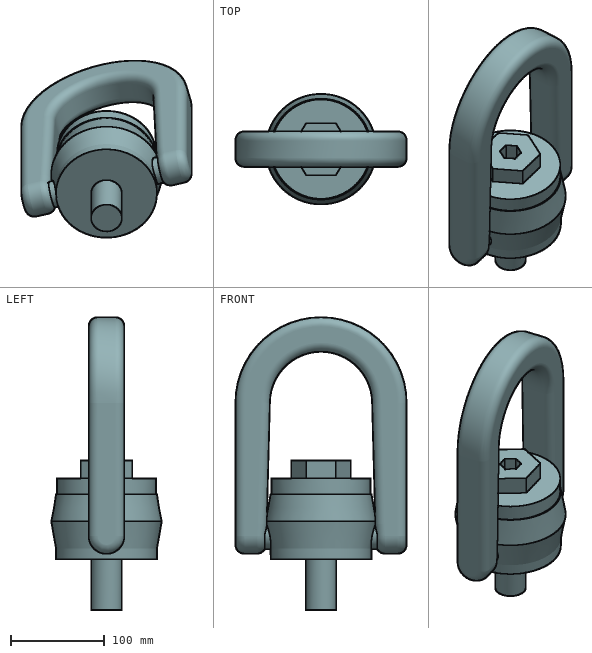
import cadquery as cq

FLANGE_BOTTOM = 54.0
FLANGE_TOP = 65.7
BODY_TOP = 124.0
DISC_TOP = 141.0
HEX_TOP = 160.0
TOTAL_HEIGHT = 313.0

STUD_DIAMETER = 33.0
FLANGE_DIAMETER = 108.0
BELLY_DIAMETER = 118.3
DISC_DIAMETER = 106.0
HEX_ACROSS_FLATS = 55.5
SOCKET_ACROSS_FLATS = 19.7
SOCKET_DEPTH = HEX_TOP - DISC_TOP

SHACKLE_WIDTH = 183.0
SHACKLE_THICKNESS = 38.2
EDGE_RADIUS = 9.7
ARCH_INNER_RADIUS = 54.5
TAPER_END_HALF_GAP = 58.0
TAPER_END_HEIGHT = 91.7
FOOT_HALF_GAP = 59.0
PIN_HEIGHT = 79.2
PIN_DIAMETER = 28.5

ARCH_OUTER_RADIUS = SHACKLE_WIDTH / 2
ARCH_CENTRE_HEIGHT = TOTAL_HEIGHT - ARCH_OUTER_RADIUS
FOOT_RADIUS = SHACKLE_THICKNESS / 2
FOOT_BOTTOM = PIN_HEIGHT - FOOT_RADIUS
HEX_CORNER_FACTOR = 2 / 3**0.5


def hinge_pin():
    """Horizontal pin along X, reaching the inner faces of both legs."""
    return (
        cq.Workplane("YZ")
        .center(0, PIN_HEIGHT)
        .circle(PIN_DIAMETER / 2)
        .extrude(FOOT_HALF_GAP + EDGE_RADIUS, both=True)
    )


def make_shackle():
    """U-shaped shackle with rounded feet, closed by the hinge pin."""
    bow = (
        cq.Workplane("XZ")
        .moveTo(-ARCH_OUTER_RADIUS, FOOT_BOTTOM)
        .lineTo(-ARCH_OUTER_RADIUS, ARCH_CENTRE_HEIGHT)
        .threePointArc((0, TOTAL_HEIGHT), (ARCH_OUTER_RADIUS, ARCH_CENTRE_HEIGHT))
        .lineTo(ARCH_OUTER_RADIUS, FOOT_BOTTOM)
        .lineTo(FOOT_HALF_GAP, FOOT_BOTTOM)
        .lineTo(FOOT_HALF_GAP, PIN_HEIGHT)
        .lineTo(TAPER_END_HALF_GAP, TAPER_END_HEIGHT)
        .lineTo(ARCH_INNER_RADIUS, ARCH_CENTRE_HEIGHT)
        .threePointArc(
            (0, ARCH_CENTRE_HEIGHT + ARCH_INNER_RADIUS),
            (-ARCH_INNER_RADIUS, ARCH_CENTRE_HEIGHT),
        )
        .lineTo(-TAPER_END_HALF_GAP, TAPER_END_HEIGHT)
        .lineTo(-FOOT_HALF_GAP, PIN_HEIGHT)
        .lineTo(-FOOT_HALF_GAP, FOOT_BOTTOM)
        .close()
        .extrude(SHACKLE_THICKNESS / 2, both=True)
    )
    round_foot_envelope = (
        cq.Workplane("YZ")
        .moveTo(-FOOT_RADIUS, TOTAL_HEIGHT)
        .lineTo(-FOOT_RADIUS, PIN_HEIGHT)
        .threePointArc((0, FOOT_BOTTOM), (FOOT_RADIUS, PIN_HEIGHT))
        .lineTo(FOOT_RADIUS, TOTAL_HEIGHT)
        .close()
        .extrude(ARCH_OUTER_RADIUS, both=True)
    )
    bow = bow.intersect(round_foot_envelope)
    bow = bow.edges("not(|X or |Y)").fillet(EDGE_RADIUS)
    return bow.union(hinge_pin())


def make_swivel_body(shackle):
    """Turned body with hex head and stud, cut to fit the shackle's pin and inner leg faces."""
    belly_height = (FLANGE_TOP + BODY_TOP) / 2
    turned = (
        cq.Workplane("XZ")
        .lineTo(STUD_DIAMETER / 2, 0)
        .lineTo(STUD_DIAMETER / 2, FLANGE_BOTTOM)
        .lineTo(FLANGE_DIAMETER / 2, FLANGE_BOTTOM)
        .lineTo(FLANGE_DIAMETER / 2, FLANGE_TOP)
        .lineTo(BELLY_DIAMETER / 2, belly_height)
        .lineTo(FLANGE_DIAMETER / 2, BODY_TOP)
        .lineTo(DISC_DIAMETER / 2, BODY_TOP)
        .lineTo(DISC_DIAMETER / 2, DISC_TOP)
        .lineTo(0, DISC_TOP)
        .close()
        .revolve(360, (0, 0), (0, 1))
    )
    head = (
        cq.Workplane("XY", origin=(0, 0, DISC_TOP))
        .polygon(6, HEX_ACROSS_FLATS * HEX_CORNER_FACTOR)
        .extrude(HEX_TOP - DISC_TOP)
    )
    socket = (
        cq.Workplane("XY", origin=(0, 0, HEX_TOP))
        .polygon(6, SOCKET_ACROSS_FLATS * HEX_CORNER_FACTOR)
        .extrude(-SOCKET_DEPTH)
    )
    body = turned.union(head).cut(socket)
    return body.cut(shackle)


shackle = make_shackle()
swivel_body = make_swivel_body(shackle)

result = cq.Compound.makeCompound([shackle.solids().val(), swivel_body.solids().val()])